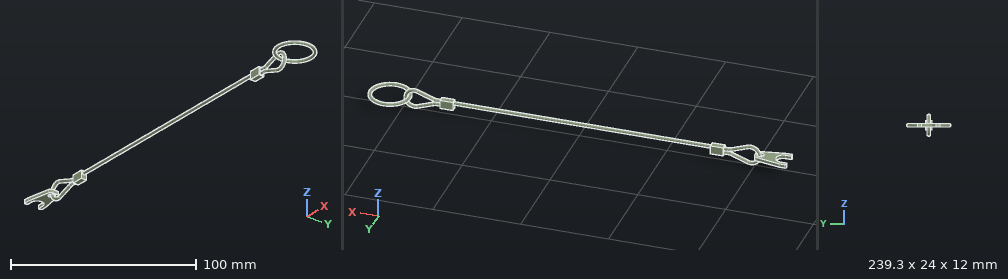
import cadquery as cq
import math

total_length = 239.3
wire_dia = 2.0
wire_radius = wire_dia / 2

fork_thickness = 2.2
fork_length = 19.5
fork_tip_half_width = 6.0
fork_tip_length = 3.8
fork_end_half_width = 3.0
fork_tip_fillet = 0.7
fork_end_fillet = 2.0
slot_radius = 3.8
slot_depth = 7.5
eye_hole_radius = 2.0
eye_hole_x = 16.5

ring_outer_dia = 24.0
ring_path_radius = ring_outer_dia / 2 - wire_radius
ring_center_x = total_length - ring_outer_dia / 2

eye_start_x = 16.0
eye_outer_radius = 6.0
eye_path_radius = eye_outer_radius - wire_radius
eye_center_x = eye_start_x + eye_outer_radius
eye_neck_x = 33.7
neck_bend_run = 1.0
ferrule_start_x = 37.0
ferrule_length = 7.5
ferrule_width = 3.5
ferrule_height = 5.0
lanyard_middle_x = 117.7
strand_z = 1.08


def make_fork():
    outline = [
        (0, fork_tip_half_width),
        (fork_tip_length, fork_tip_half_width),
        (fork_length, fork_end_half_width),
        (fork_length, -fork_end_half_width),
        (fork_tip_length, -fork_tip_half_width),
        (0, -fork_tip_half_width),
    ]
    plate = cq.Workplane("XY").polyline(outline).close().extrude(fork_thickness / 2, both=True)
    plate = plate.edges("|Z and <X").fillet(fork_tip_fillet)
    plate = plate.edges("|Z and >X").fillet(fork_end_fillet)

    slot_center_x = slot_depth - slot_radius
    slot = (
        cq.Workplane("XY")
        .moveTo(0, slot_radius)
        .lineTo(slot_center_x, slot_radius)
        .threePointArc((slot_depth, 0), (slot_center_x, -slot_radius))
        .lineTo(0, -slot_radius)
        .close()
        .extrude(fork_thickness, both=True)
    )
    hole = cq.Workplane("XY").center(eye_hole_x, 0).circle(eye_hole_radius).extrude(fork_thickness, both=True)
    return plate.cut(slot).cut(hole)


def make_eye_loop():
    """Teardrop of cable whose two strands end inside the left ferrule."""
    neck_run = eye_neck_x - eye_center_x
    neck_distance = math.hypot(neck_run, strand_z)
    tangent_angle = math.atan2(strand_z, neck_run) + math.acos(eye_path_radius / neck_distance)
    tangent_x = eye_center_x + eye_path_radius * math.cos(tangent_angle)
    tangent_z = eye_path_radius * math.sin(tangent_angle)
    slope_length = math.hypot(eye_neck_x - tangent_x, tangent_z - strand_z)
    bend_fraction = neck_bend_run / slope_length
    bend_start_x = eye_neck_x + bend_fraction * (tangent_x - eye_neck_x)
    bend_start_z = strand_z + bend_fraction * (tangent_z - strand_z)
    bend_end_x = eye_neck_x + neck_bend_run
    strand_end_x = ferrule_start_x + ferrule_length / 2
    path = (
        cq.Workplane("XZ")
        .moveTo(strand_end_x, strand_z)
        .lineTo(bend_end_x, strand_z)
        .tangentArcPoint((bend_start_x, bend_start_z), relative=False)
        .lineTo(tangent_x, tangent_z)
        .threePointArc((eye_center_x - eye_path_radius, 0), (tangent_x, -tangent_z))
        .lineTo(bend_start_x, -bend_start_z)
        .tangentArcPoint((bend_end_x, -strand_z), relative=False)
        .lineTo(strand_end_x, -strand_z)
    )
    section = cq.Workplane("YZ", origin=(strand_end_x, 0, strand_z)).circle(wire_radius)
    return section.sweep(path)


def make_ferrule():
    return cq.Workplane("XY").box(ferrule_length, ferrule_width, ferrule_height).translate(
        (ferrule_start_x + ferrule_length / 2, 0, 0)
    )


def make_cable():
    left_end = make_eye_loop().union(make_ferrule())
    right_end = left_end.mirror("YZ", (lanyard_middle_x, 0, 0))
    cable_start_x = ferrule_start_x + ferrule_length / 2
    cable_length = 2 * (lanyard_middle_x - cable_start_x)
    straight = cq.Workplane("YZ", origin=(cable_start_x, 0, strand_z)).circle(wire_radius).extrude(cable_length)
    return left_end.union(straight).union(right_end)


def make_ring():
    ring = cq.Solid.makeTorus(ring_path_radius, wire_radius)
    return cq.Workplane("XY").add(ring).translate((ring_center_x, 0, 0))


fork = make_fork()
cable = make_cable()
ring = make_ring()

result = cq.Compound.makeCompound([fork.solids().val(), cable.solids().val(), ring.val()])